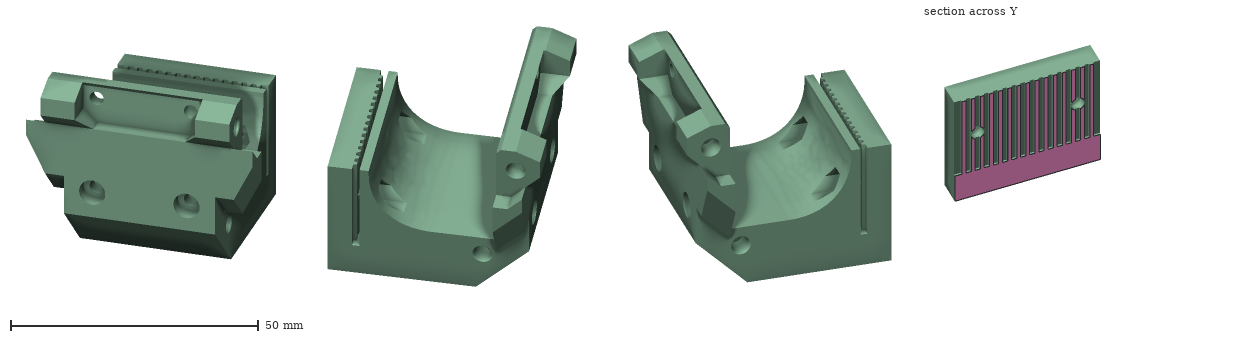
import cadquery as cq
import math


BASE_WIDTH = 32.0
BASE_DEPTH = 35.4
BASE_HEIGHT = 27.0
FLOOR_Z = 13.0
CRADLE_SIZE = 13.0
CRADLE_UPPER_HANDLE = 7.15
CRADLE_LOWER_HANDLE = 8.4
LIP_FROM_BACK = 8.45
TONGUE_LENGTH = 3.3

SLOT_START_FROM_BACK = 5.0
SLOT_END_FROM_BACK = 6.6
SLOT_BOTTOM_Z = 7.05
TOOTH_COUNT = 15
TOOTH_PITCH = 2.0
TOOTH_HEIGHT = 0.7
TOOTH_ROOT_WIDTH = 1.15
TOOTH_TIP_WIDTH = 0.65

PLATE_THICKNESS = 6.0
PLATE_WIDTH = 48
PLATE_TOP_Z = 30.95
PLATE_BOTTOM_Z = 10.95
WING_SIDE_BOTTOM_Z = 27.5
WING_BOTTOM_Z = 19.4
WING_TOP_Z = 28.05

BAR_WIDTH = 40.0
BAR_TOP_Z = 40.0
BOSS_PROTRUSION = 3.0
BOSS_TOP_DROP = 2.0
BOSS_TOP_RUN = 5.0
BAR_BACK_CHAMFER = 0.95
RECESS_WIDTH = 25.5
RECESS_LIP_DEPTH = 3.65
RECESS_LIP_OVERHANG = 0.65
RECESS_LIP_HEIGHT = 0.9

SCREW_DIAMETER = 3.0
SCREW_SPACING = 19.95
UPPER_SCREW_Z = 36.45
LOWER_SCREW_Z = 16.5
COUNTERBORE_DIAMETER = 5.5
COUNTERBORE_DEPTH = 3.0
CLAMP_SCREW_SPACING = 22.0
CLAMP_SCREW_Z = 17.1
NUT_ACROSS_FLATS = 5.4
NUT_SEAT_WALL = 1.4
SIDE_HOLE_DIAMETER = 3.75
SIDE_HOLE_DEPTH = 4.8
SIDE_HOLE_CHAMFER = 0.2
BASE_SIDE_HOLE_Y = 3.6
BASE_SIDE_HOLE_Z = 8.85
BOSS_SIDE_HOLE_Y = -4.0
BOSS_SIDE_HOLE_Z = 35.0

BOSS_FRONT_Y = -PLATE_THICKNESS - BOSS_PROTRUSION
BOSS_BOTTOM_Z = PLATE_TOP_Z + BOSS_PROTRUSION
PLATE_BACK_TOP_Z = PLATE_TOP_Z - PLATE_THICKNESS
PLATE_BACK_BOTTOM_Z = PLATE_BOTTOM_Z - PLATE_THICKNESS
SLOT_START_Y = BASE_DEPTH - SLOT_START_FROM_BACK
SLOT_END_Y = BASE_DEPTH - SLOT_END_FROM_BACK
LIP_Y = BASE_DEPTH - LIP_FROM_BACK
NUT_SEAT_Y = SLOT_END_Y - NUT_SEAT_WALL


def across_x(profile, width):
    """Extrude a YZ profile to the given width, centred on X = 0."""
    return profile.extrude(width).translate((-width / 2, 0, 0))


def cylinder_along_y(diameter, x, z, y_start, y_end):
    """Cylinder parallel to Y between two Y positions."""
    return cq.Workplane(cq.Solid.makeCylinder(
        diameter / 2, y_end - y_start, cq.Vector(x, y_start, z), cq.Vector(0, 1, 0)))


def side_hole(side, outer_x, y, z):
    """Blind hole with a chamfered mouth, entering along X from the face at side * outer_x."""
    radius = SIDE_HOLE_DIAMETER / 2
    mouth = cq.Vector(side * outer_x, y, z)
    inward = cq.Vector(-side, 0, 0)
    bore = cq.Solid.makeCylinder(radius, SIDE_HOLE_DEPTH, mouth, inward)
    chamfer = cq.Solid.makeCone(radius + SIDE_HOLE_CHAMFER, radius, SIDE_HOLE_CHAMFER, mouth, inward)
    return cq.Workplane(bore.fuse(chamfer))


def make_belt_slot():
    """Slot open at the top and both ends, with belt teeth left standing on its rear wall."""
    slot = (
        cq.Workplane("XY", origin=(0, (SLOT_START_Y + SLOT_END_Y) / 2, SLOT_BOTTOM_Z))
        .rect(BASE_WIDTH, SLOT_START_Y - SLOT_END_Y)
        .extrude(BASE_HEIGHT - SLOT_BOTTOM_Z)
    )
    tip_y = SLOT_START_Y - TOOTH_HEIGHT
    for index in range(TOOTH_COUNT):
        x = (index - (TOOTH_COUNT - 1) / 2) * TOOTH_PITCH
        tooth = (
            cq.Workplane("XY", origin=(0, 0, SLOT_BOTTOM_Z))
            .moveTo(x - TOOTH_ROOT_WIDTH / 2, SLOT_START_Y)
            .lineTo(x - TOOTH_TIP_WIDTH / 2, tip_y)
            .lineTo(x + TOOTH_TIP_WIDTH / 2, tip_y)
            .lineTo(x + TOOTH_ROOT_WIDTH / 2, SLOT_START_Y)
            .close()
            .extrude(BASE_HEIGHT - SLOT_BOTTOM_Z)
        )
        slot = slot.cut(tooth)
    return slot


def make_nut_pocket(x):
    """Hexagonal pocket with level flats, opening forward from its seat into the cradle."""
    corner_diameter = NUT_ACROSS_FLATS / math.cos(math.pi / 6)
    return (
        cq.Workplane("XZ", origin=(x, NUT_SEAT_Y, CLAMP_SCREW_Z))
        .polygon(6, corner_diameter)
        .extrude(CRADLE_SIZE)
    )


def make_base():
    curve_top_z = FLOOR_Z + CRADLE_SIZE
    curve_end_y = LIP_Y - CRADLE_SIZE
    cradle_curve = [
        (LIP_Y, curve_top_z),
        (LIP_Y, curve_top_z - CRADLE_UPPER_HANDLE),
        (curve_end_y + CRADLE_LOWER_HANDLE, FLOOR_Z),
        (curve_end_y, FLOOR_Z),
    ]
    profile = (
        cq.Workplane("YZ")
        .moveTo(BASE_DEPTH, 0)
        .lineTo(BASE_DEPTH, BASE_HEIGHT)
        .lineTo(LIP_Y, BASE_HEIGHT)
        .lineTo(LIP_Y, curve_top_z)
        .bezier(cradle_curve)
        .lineTo(-TONGUE_LENGTH, FLOOR_Z)
        .lineTo(-TONGUE_LENGTH, PLATE_BACK_BOTTOM_Z + TONGUE_LENGTH)
        .lineTo(PLATE_BACK_BOTTOM_Z, 0)
        .close()
    )
    base = across_x(profile, BASE_WIDTH).cut(make_belt_slot())
    for side in (-1, 1):
        x = side * CLAMP_SCREW_SPACING / 2
        base = base.cut(make_nut_pocket(x))
        base = base.cut(cylinder_along_y(SCREW_DIAMETER, x, CLAMP_SCREW_Z, NUT_SEAT_Y, BASE_DEPTH))
        base = base.cut(side_hole(side, BASE_WIDTH / 2, BASE_SIDE_HOLE_Y, BASE_SIDE_HOLE_Z))
    return base


def make_winged_panel():
    """Winged front outline swept back and down at 45 degrees, with level wing tops at the back."""
    right_half = [
        (PLATE_WIDTH / 2, PLATE_TOP_Z),
        (PLATE_WIDTH / 2, WING_SIDE_BOTTOM_Z),
        (BAR_WIDTH / 2, WING_BOTTOM_Z),
        (BASE_WIDTH / 2, WING_BOTTOM_Z),
        (BASE_WIDTH / 2, PLATE_BOTTOM_Z),
    ]
    left_half = [(-x, z) for x, z in reversed(right_half)]
    corners = [cq.Vector(x, -PLATE_THICKNESS, z) for x, z in right_half + left_half]
    outline = cq.Wire.makePolygon(corners, close=True)
    sweep = cq.Vector(0, PLATE_THICKNESS, -PLATE_THICKNESS)
    panel = cq.Workplane(cq.Solid.extrudeLinear(outline, [], sweep))
    wing_top = (
        cq.Workplane("YZ")
        .moveTo(0, PLATE_BACK_TOP_Z)
        .lineTo(0, WING_TOP_Z)
        .lineTo(PLATE_BACK_TOP_Z - WING_TOP_Z, WING_TOP_Z)
        .close()
    )
    return panel.union(across_x(wing_top, PLATE_WIDTH))


def make_bar():
    """Upper bar whose underside lies on the sloping top of the panel."""
    profile = (
        cq.Workplane("YZ")
        .moveTo(0, PLATE_BACK_TOP_Z)
        .lineTo(0, BAR_TOP_Z - BAR_BACK_CHAMFER)
        .lineTo(-BAR_BACK_CHAMFER, BAR_TOP_Z)
        .lineTo(BOSS_FRONT_Y + BOSS_TOP_RUN, BAR_TOP_Z)
        .lineTo(BOSS_FRONT_Y, BAR_TOP_Z - BOSS_TOP_DROP)
        .lineTo(BOSS_FRONT_Y, BOSS_BOTTOM_Z)
        .close()
    )
    return across_x(profile, BAR_WIDTH)


def make_recess():
    """Pocket between the bosses, with 45 degree lower corners and a lip overhanging its top."""
    half_width = RECESS_WIDTH / 2
    half_floor = half_width - BOSS_PROTRUSION
    wall_y = RECESS_LIP_OVERHANG - RECESS_LIP_DEPTH
    recess = (
        cq.Workplane("XZ", origin=(0, wall_y, 0))
        .moveTo(-half_floor, PLATE_TOP_Z)
        .lineTo(half_floor, PLATE_TOP_Z)
        .lineTo(half_width, BOSS_BOTTOM_Z)
        .lineTo(half_width, BAR_TOP_Z)
        .lineTo(-half_width, BAR_TOP_Z)
        .lineTo(-half_width, BOSS_BOTTOM_Z)
        .close()
        .extrude(wall_y - BOSS_FRONT_Y)
    )
    lip = (
        cq.Workplane("YZ")
        .moveTo(wall_y, BAR_TOP_Z - RECESS_LIP_HEIGHT)
        .lineTo(wall_y, BAR_TOP_Z)
        .lineTo(-RECESS_LIP_DEPTH, BAR_TOP_Z)
        .close()
    )
    return recess.cut(across_x(lip, RECESS_WIDTH))


def make_front_plate(base):
    plate = make_winged_panel().union(make_bar()).cut(make_recess()).cut(base)
    for side in (-1, 1):
        x = side * SCREW_SPACING / 2
        for z in (UPPER_SCREW_Z, LOWER_SCREW_Z):
            plate = plate.cut(cylinder_along_y(SCREW_DIAMETER, x, z, -PLATE_THICKNESS, 0))
        plate = plate.cut(cylinder_along_y(
            COUNTERBORE_DIAMETER, x, LOWER_SCREW_Z,
            -PLATE_THICKNESS, COUNTERBORE_DEPTH - PLATE_THICKNESS))
        plate = plate.cut(side_hole(side, BAR_WIDTH / 2, BOSS_SIDE_HOLE_Y, BOSS_SIDE_HOLE_Z))
    return plate


base = make_base()
front_plate = make_front_plate(base)

result = cq.Compound.makeCompound([base.val(), front_plate.val()])